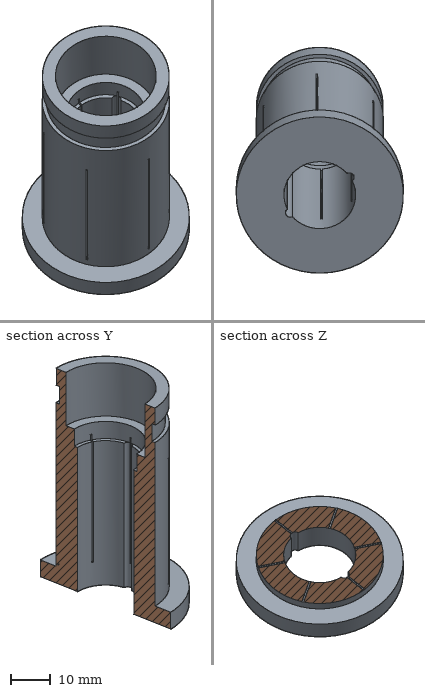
import cadquery as cq

total_height = 62.5
flange_diameter = 42.0
flange_thickness = 5.0
sleeve_diameter = 32.0

collar_diameter = 31.9
collar_height = 5.0
groove_width = 5.0
groove_diameter = 30.0

counterbore_diameter = 25.3
counterbore_depth = 15.5
middle_bore_diameter = 20.0
lower_bore_diameter = 18.0
lower_bore_height = 42.0

keyway_radius = 1.2
keyway_center_radius = middle_bore_diameter / 2 - keyway_radius

slot_count = 6
slot_width = 0.4
slot_bottom = 7.0
slot_top = 43.5


def cylinder(diameter, bottom, top):
    """Solid cylinder on the Z axis between two heights."""
    return cq.Workplane("XY").workplane(offset=bottom).circle(diameter / 2).extrude(top - bottom)


def make_sleeve():
    """Flanged sleeve with its outer groove."""
    groove_top = total_height - collar_height
    groove_bottom = groove_top - groove_width
    flange = cylinder(flange_diameter, 0, flange_thickness)
    body = cylinder(sleeve_diameter, flange_thickness, groove_bottom)
    neck = cylinder(groove_diameter, groove_bottom, groove_top)
    collar = cylinder(collar_diameter, groove_top, total_height)
    return flange.union(body).union(neck).union(collar)


def cut_stepped_bore(part):
    counterbore_floor = total_height - counterbore_depth
    part = part.cut(cylinder(lower_bore_diameter, 0, lower_bore_height))
    part = part.cut(cylinder(middle_bore_diameter, lower_bore_height, counterbore_floor))
    return part.cut(cylinder(counterbore_diameter, counterbore_floor, total_height))


def cut_keyways(part):
    """Two opposite keyways, open at the bottom face and at the step of the bore."""
    keyways = (
        cq.Workplane("XY")
        .pushPoints([(0, keyway_center_radius), (0, -keyway_center_radius)])
        .circle(keyway_radius)
        .extrude(lower_bore_height)
    )
    return part.cut(keyways)


def cut_wall_slots(part):
    """Evenly spaced radial slots, one of them facing -Y."""
    slot_length = slot_top - slot_bottom
    slot_reach = flange_diameter / 2
    slot = (
        cq.Workplane("XY")
        .workplane(offset=slot_bottom)
        .center(0, -slot_reach / 2)
        .rect(slot_width, slot_reach)
        .extrude(slot_length)
    )
    for index in range(slot_count):
        angle = index * 360 / slot_count
        part = part.cut(slot.rotate((0, 0, 0), (0, 0, 1), angle))
    return part


result = make_sleeve()
result = cut_stepped_bore(result)
result = cut_keyways(result)
result = cut_wall_slots(result)